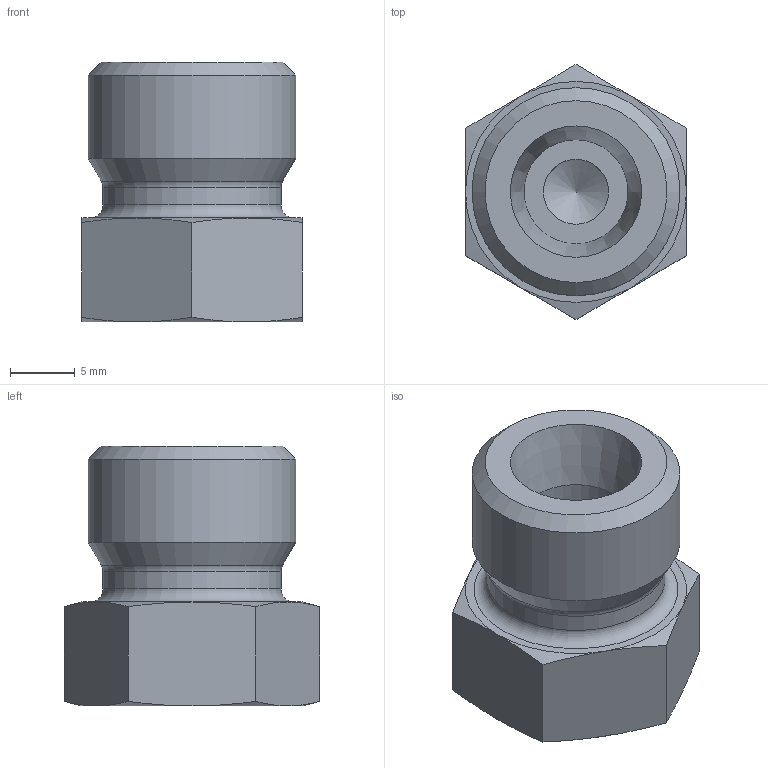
import cadquery as cq
import math

HEX_ACROSS_FLATS = 17.0
HEX_HALF_ANGLE = 30.0
HEX_CORNER_RADIUS = HEX_ACROSS_FLATS / 2 / math.cos(math.radians(HEX_HALF_ANGLE))
HEX_HEIGHT = 8.0
HEX_CHAMFER_RADIUS = HEX_ACROSS_FLATS / 2
HEX_CHAMFER_ANGLE = 15.0
ENVELOPE_MARGIN = 1.0

TOTAL_HEIGHT = 20.0
SPIGOT_RADIUS = 16.0 / 2
SPIGOT_CHAMFER = 1.0
SPIGOT_LENGTH = 7.4

NECK_RADIUS = 13.7 / 2
RUNOUT_ANGLE = 30.0
RUNOUT_FILLET = 1.0
NECK_FILLET = 1.0

CONE_MOUTH_RADIUS = 10.1 / 2
CONE_HALF_ANGLE = 12.0
BORE_RADIUS = 8.0 / 2
BORE_DEPTH = 7.0
HOLE_RADIUS = 5.0 / 2
HOLE_DEPTH = 16.0
DRILL_TIP_ANGLE = 118.0


def run_over_rise(angle):
    return math.tan(math.radians(angle))


def hexagon_base():
    """Hexagon with two flats facing X, its corners turned down at both ends."""
    prism = (
        cq.Workplane("XY")
        .polygon(6, 2 * HEX_CORNER_RADIUS)
        .extrude(HEX_HEIGHT)
        .rotate((0, 0, 0), (0, 0, 1), HEX_HALF_ANGLE)
    )
    outer_radius = HEX_CORNER_RADIUS + ENVELOPE_MARGIN
    drop = (outer_radius - HEX_CHAMFER_RADIUS) * run_over_rise(HEX_CHAMFER_ANGLE)
    chamfer_envelope = (
        cq.Workplane("XZ")
        .polyline([
            (0, 0),
            (HEX_CHAMFER_RADIUS, 0),
            (outer_radius, drop),
            (outer_radius, HEX_HEIGHT - drop),
            (HEX_CHAMFER_RADIUS, HEX_HEIGHT),
            (0, HEX_HEIGHT),
        ])
        .close()
        .revolve(360, (0, 0, 0), (0, 1, 0))
    )
    return prism.intersect(chamfer_envelope)


def spigot():
    """Cylinder with a chamfered mouth, a tapered run-out and a filleted neck."""
    runout_top = TOTAL_HEIGHT - SPIGOT_LENGTH
    runout_bottom = runout_top - (SPIGOT_RADIUS - NECK_RADIUS) / run_over_rise(RUNOUT_ANGLE)

    tangent_length = RUNOUT_FILLET * run_over_rise(RUNOUT_ANGLE / 2)
    taper = math.radians(RUNOUT_ANGLE)
    half_taper = taper / 2
    fillet_center_x = NECK_RADIUS + RUNOUT_FILLET
    fillet_start_z = runout_bottom - tangent_length
    fillet_middle = (
        fillet_center_x - RUNOUT_FILLET * math.cos(half_taper),
        fillet_start_z + RUNOUT_FILLET * math.sin(half_taper),
    )
    fillet_end = (
        fillet_center_x - RUNOUT_FILLET * math.cos(taper),
        fillet_start_z + RUNOUT_FILLET * math.sin(taper),
    )

    quarter_middle = NECK_FILLET * (1 - math.sqrt(0.5))
    return (
        cq.Workplane("XZ")
        .moveTo(0, HEX_HEIGHT)
        .lineTo(NECK_RADIUS + NECK_FILLET, HEX_HEIGHT)
        .threePointArc(
            (NECK_RADIUS + quarter_middle, HEX_HEIGHT + quarter_middle),
            (NECK_RADIUS, HEX_HEIGHT + NECK_FILLET),
        )
        .lineTo(NECK_RADIUS, fillet_start_z)
        .threePointArc(fillet_middle, fillet_end)
        .lineTo(SPIGOT_RADIUS, runout_top)
        .lineTo(SPIGOT_RADIUS, TOTAL_HEIGHT - SPIGOT_CHAMFER)
        .lineTo(SPIGOT_RADIUS - SPIGOT_CHAMFER, TOTAL_HEIGHT)
        .lineTo(0, TOTAL_HEIGHT)
        .close()
        .revolve(360, (0, 0, 0), (0, 1, 0))
    )


def bore():
    """Sealing cone, tube bore and drilled blind hole."""
    cone_depth = (CONE_MOUTH_RADIUS - BORE_RADIUS) / run_over_rise(CONE_HALF_ANGLE)
    tip_depth = HOLE_RADIUS / run_over_rise(DRILL_TIP_ANGLE / 2)
    shoulder_z = TOTAL_HEIGHT - BORE_DEPTH
    hole_end_z = TOTAL_HEIGHT - HOLE_DEPTH
    return (
        cq.Workplane("XZ")
        .polyline([
            (0, TOTAL_HEIGHT),
            (CONE_MOUTH_RADIUS, TOTAL_HEIGHT),
            (BORE_RADIUS, TOTAL_HEIGHT - cone_depth),
            (BORE_RADIUS, shoulder_z),
            (HOLE_RADIUS, shoulder_z),
            (HOLE_RADIUS, hole_end_z),
            (0, hole_end_z - tip_depth),
        ])
        .close()
        .revolve(360, (0, 0, 0), (0, 1, 0))
    )


result = hexagon_base().union(spigot()).cut(bore())